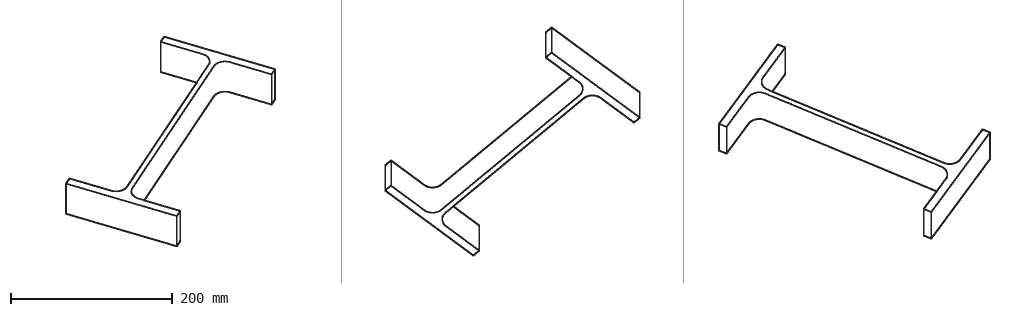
import cadquery as cq

section_height = 300.0
flange_width = 150.0
flange_thickness = 10.7
web_thickness = 7.1
root_radius = 15.0
beam_length = 50.0

web_height = section_height - 2 * flange_thickness
flange_offset = (section_height - flange_thickness) / 2


def make_flange(center_y):
    """Flat flange plate centred at the given Y."""
    return cq.Workplane("XY").center(0, center_y).rect(flange_width, flange_thickness).extrude(beam_length)


def make_web():
    """Thin plate joining the inner faces of the two flanges."""
    return cq.Workplane("XY").rect(web_thickness, web_height).extrude(beam_length)


def round_roots(beam):
    """Fillet the four inner corners where the web meets the flanges."""
    root_box = cq.selectors.BoxSelector(
        (-web_thickness, -section_height / 2, 0),
        (web_thickness, section_height / 2, beam_length),
    )
    return beam.edges("|Z").edges(root_box).fillet(root_radius)


beam = make_web()
for side in (-1, 1):
    beam = beam.union(make_flange(side * flange_offset))

result = round_roots(beam)